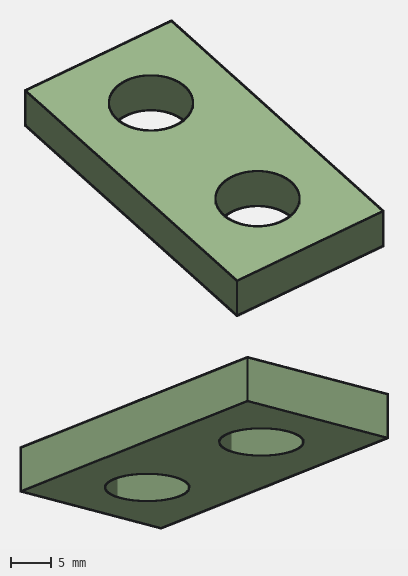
import cadquery as cq

length = 44.45
width = 22.35
thickness = 5.75

hole_diameter = 10.4
hole_spacing = width

plate = cq.Workplane("XY").box(length, width, thickness)

result = (
    plate.faces(">Z")
    .workplane()
    .pushPoints([(-hole_spacing / 2, 0), (hole_spacing / 2, 0)])
    .hole(hole_diameter)
)